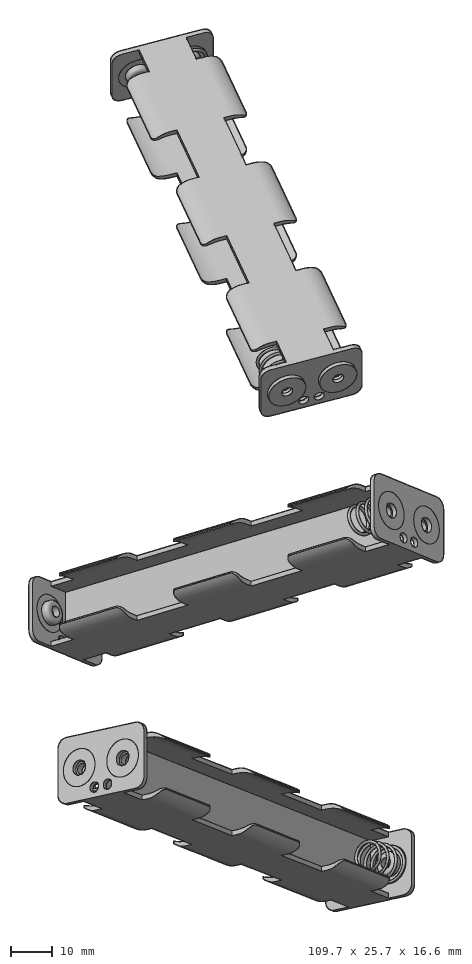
import cadquery as cq
import math

housing_length = 108.7
housing_width = 25.7
housing_height = 16.6
housing_left = -54.9
wall = 1.2
rail_width = 12.0
plate_corner_radius = 2.5

housing_right = housing_left + housing_length
housing_center = (housing_left + housing_right) / 2

lug_length = 20.0
lug_spacing = 36.0
lug_bend_start = 7.7
lug_bend_radius = 6.1
lug_bend_angle = 46.0
lug_corner_radius = 1.4
lug_inner_radius = 10.5
lug_tip_thickness = 0.3
lug_row_shift = 0.16

wire_hole_diameter = 2.5
wire_hole_offset = 2.0
wire_hole_height = -5.7

cell_offset = 6.5
flange_diameter = 9.4
button_diameter = 6.0
button_length = 1.9
button_fillet = 0.9
contact_bore_diameter = 3.7
contact_hole_diameter = 2.7

disc_thickness = 1.0

wire_diameter = 0.7
spring_length = 9.4
spring_base_radius = 4.5
spring_tip_radius = 3.4
flat_base_turns = 0.5
active_turns = 3.0
flat_tip_turns = 0.65
spring_start_angle = 180.0
spring_seat_gap = 0.02
points_per_turn = 16


def make_lug(side):
    """One lug of the top flange, curving down and thinning towards its tip on the +Y or -Y side."""
    top = housing_height / 2
    bend_z = top - lug_bend_radius
    angle = math.radians(lug_bend_angle)
    reach = lug_bend_start + lug_bend_radius * math.sin(angle)
    tip_z = bend_z + lug_bend_radius * math.cos(angle)
    strip = (
        cq.Workplane("YZ")
        .moveTo(0, top)
        .lineTo(lug_bend_start, top)
        .tangentArcPoint((reach, tip_z), relative=False)
        .lineTo(reach, tip_z - lug_tip_thickness)
        .radiusArc((lug_bend_start, top - wall), -lug_inner_radius)
        .lineTo(0, top - wall)
        .close()
        .extrude(lug_length / 2, both=True)
    )
    outline = (
        cq.Workplane("XY")
        .box(lug_length, 2 * reach, housing_height)
        .edges("|Z")
        .fillet(lug_corner_radius)
    )
    lug = strip.intersect(outline)
    return lug if side > 0 else lug.mirror("XZ")


def make_end_plate(x_left):
    """A rounded end plate with two wire holes and two through seats for the contact flanges."""
    return (
        cq.Workplane("YZ", origin=(x_left, 0, 0))
        .rect(housing_width, housing_height)
        .extrude(wall)
        .edges("|X")
        .fillet(plate_corner_radius)
        .faces("<X")
        .workplane(origin=(x_left, 0, 0))
        .pushPoints([(-wire_hole_offset, wire_hole_height), (wire_hole_offset, wire_hole_height)])
        .hole(wire_hole_diameter)
        .faces("<X")
        .workplane(origin=(x_left, 0, 0))
        .pushPoints([(-cell_offset, 0), (cell_offset, 0)])
        .hole(flange_diameter)
    )


def make_housing():
    """Web, two lugged flanges and two end plates as one solid."""
    rail_length = housing_length - 2 * wall
    lift = (housing_height - wall) / 2
    web = cq.Workplane("XY").box(rail_length, wall, housing_height)
    top_flange = cq.Workplane("XY").box(rail_length, rail_width, wall).translate((0, 0, lift))
    for index in (-1, 0, 1):
        lug_x = index * lug_spacing + lug_row_shift
        for side in (-1, 1):
            top_flange = top_flange.union(make_lug(side).translate((lug_x, 0, 0)))
    rail = web.union(top_flange).union(top_flange.mirror("XY")).translate((housing_center, 0, 0))
    return rail.union(make_end_plate(housing_left)).union(make_end_plate(housing_right - wall))


def make_contact():
    """Contact with its outer face at x = 0 and its button pointing to +X."""
    flange = cq.Workplane("YZ").circle(flange_diameter / 2).extrude(wall)
    button = (
        cq.Workplane("YZ")
        .circle(button_diameter / 2)
        .extrude(wall + button_length)
        .faces(">X")
        .edges()
        .fillet(button_fillet)
    )
    bore = cq.Workplane("YZ").circle(contact_bore_diameter / 2).extrude(wall)
    hole = cq.Workplane("YZ").circle(contact_hole_diameter / 2).extrude(wall + button_length)
    return flange.union(button).cut(bore).cut(hole)


def make_disc():
    """Pierced outer disc lying on x = 0."""
    return (
        cq.Workplane("YZ")
        .circle(flange_diameter / 2)
        .circle(contact_hole_diameter / 2)
        .extrude(disc_thickness)
    )


def make_spring():
    """Conical spring standing just clear of x = 0 with its narrow end towards +X."""
    total_turns = flat_base_turns + active_turns + flat_tip_turns
    seat = spring_seat_gap + wire_diameter / 2
    rise = spring_length - wire_diameter

    def centerline(turn):
        climb = min(max((turn - flat_base_turns) / active_turns, 0), 1)
        radius = spring_base_radius + (spring_tip_radius - spring_base_radius) * turn / total_turns
        angle = math.radians(spring_start_angle) + 2 * math.pi * turn
        return cq.Vector(
            seat + rise * climb,
            radius * math.cos(angle),
            radius * math.sin(angle),
        )

    steps = round(total_turns * points_per_turn)
    points = [centerline(total_turns * step / steps) for step in range(steps + 1)]
    path = cq.Edge.makeSpline(points)
    section = cq.Plane(origin=points[0], normal=path.tangentAt(0))
    return (
        cq.Workplane(section)
        .circle(wire_diameter / 2)
        .sweep(cq.Workplane(cq.Wire.assembleEdges([path])), isFrenet=False)
    )


def face_left(body):
    """Turn a body that points to +X so that it points to -X."""
    return body.rotate((0, 0, 0), (0, 0, 1), 180)


housing = make_housing()

contacts = []
discs = []
for y in (-cell_offset, cell_offset):
    contacts.append(make_contact().translate((housing_left, y, 0)))
    contacts.append(face_left(make_contact()).translate((housing_right, y, 0)))
    discs.append(make_disc().translate((housing_right, y, 0)))

springs = [
    make_spring().translate((housing_left + wall, cell_offset, 0)),
    face_left(make_spring()).translate((housing_right - wall, -cell_offset, 0)),
]

result = cq.Compound.makeCompound(
    [housing.val()] + [body.val() for body in contacts + discs + springs]
)